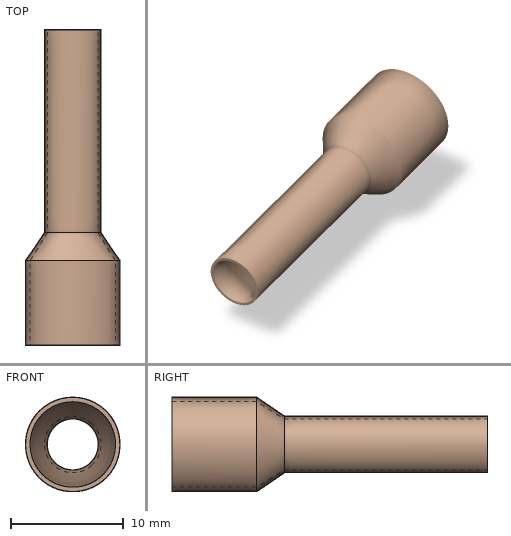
import cadquery as cq

total_length = 28.0
collar_length = 7.5
cone_length = 2.5

collar_outer_diameter = 8.4
collar_inner_diameter = 7.6
sleeve_outer_diameter = 5.0
sleeve_inner_diameter = 4.5

cone_end = collar_length + cone_length


def stepped_funnel(collar_diameter, sleeve_diameter):
    """Solid of revolution about Y: wide collar, cone, then narrow sleeve."""
    collar_radius = collar_diameter / 2
    sleeve_radius = sleeve_diameter / 2
    profile = [
        (0, 0),
        (0, collar_radius),
        (collar_length, collar_radius),
        (cone_end, sleeve_radius),
        (total_length, sleeve_radius),
        (total_length, 0),
    ]
    return cq.Workplane("YZ").polyline(profile).close().revolve(360, (0, 0), (1, 0))


body = stepped_funnel(collar_outer_diameter, sleeve_outer_diameter)
passage = stepped_funnel(collar_inner_diameter, sleeve_inner_diameter)
result = body.cut(passage)